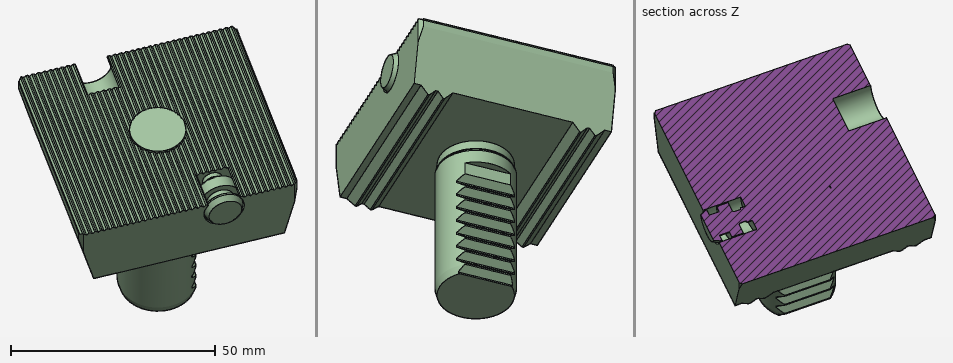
import math

import cadquery as cq


BLOCK_LENGTH = 52.0
BLOCK_WIDTH = 56.0
BLOCK_HEIGHT = 18.1
UPRIGHT_WALL_HEIGHT = 2.7
SIDE_TAPER = math.radians(13.0)
CORNER_CHAMFER = 1.0

TOOTH_PITCH = 4.0
TOOTH_FLANK = math.radians(45.0)
TOOTH_FLAT_WIDTH = 0.4

FEET_DEPTH = 2.0
FEET_GAP_DEPTH = 0.5
FEET_CENTER_X = 20.0

SERRATION_PITCH = 1.5
SERRATION_DEPTH = 0.55

DISC_DIAMETER = 13.8
DISC_HEIGHT = 0.4

SHANK_DIAMETER = 20.0
SHANK_LENGTH = 40.0
NECK_DIAMETER = 19.1
NECK_UNDERCUT = 0.1
NECK_END_Z = -2.5
SHOULDER_DIAMETER = 19.2
SHOULDER_HEIGHT = 0.2
BODY_TOP_Z = -3.4
END_TAPER_HEIGHT = 2.0
END_TAPER = math.radians(15.0)

RACK_FLAT_Y = 8.0
RACK_GROOVE_DEPTH = 1.6
RACK_TOP_Z = -7.0
FIRST_GROOVE_DISTANCE = 11.7
GROOVE_COUNT = 8

BORE_DIAMETER = 10.3
BORE_DEPTH = 10.0
BORE_OFFSET_Y = 9.0

SCREW_DIAMETER = 5.0
SCREW_CORE_DIAMETER = 4.2
SCREW_COLLAR_DIAMETER = 10.0
SCREW_WAIST_DIAMETER = 6.8
SCREW_FACE_DIAMETER = 8.4
SCREW_TOP_Z = 19.59
SCREW_THREAD_END_X = 17.2
SCREW_THREAD_CHAMFER = 0.15
SCREW_COLLAR_X = 19.35
SCREW_WAIST_X = 22.5
SCREW_HEAD_X = 25.0
SCREW_HEAD_RIM = 0.45
SCREW_FACE_X = 27.0
SCREW_FILLET = 0.45

HALF_LENGTH = BLOCK_LENGTH / 2
HALF_WIDTH = BLOCK_WIDTH / 2
SHANK_DATUM_Z = -FEET_GAP_DEPTH
SHANK_END_Z = SHANK_DATUM_Z - SHANK_LENGTH
BORE_AXIS_Z = SCREW_TOP_Z - SCREW_COLLAR_DIAMETER / 2
BORE_FLOOR_X = HALF_LENGTH - BORE_DEPTH


def tooth_half_width(distance):
    """Half width of a tooth or groove at a distance from its narrow flat."""
    return TOOTH_FLAT_WIDTH / 2 + distance * math.tan(TOOTH_FLANK)


def foot_outline(center_x):
    """Two-tooth foot in XZ, from the underside of the block down."""
    root = tooth_half_width(FEET_DEPTH)
    gap = tooth_half_width(FEET_DEPTH - FEET_GAP_DEPTH)
    tip = tooth_half_width(0)
    near = TOOTH_PITCH / 2
    right_half = [
        (near - gap, -FEET_GAP_DEPTH),
        (near - tip, -FEET_DEPTH),
        (near + tip, -FEET_DEPTH),
        (near + root, 0),
    ]
    left_half = [(-x, z) for x, z in reversed(right_half)]
    return [(center_x + x, z) for x, z in left_half + right_half]


def make_block():
    """Tapered block with its feet, before the top is cut."""
    long_outline = [
        (-HALF_LENGTH, BLOCK_HEIGHT),
        (-HALF_LENGTH, 0),
        *foot_outline(-FEET_CENTER_X),
        *foot_outline(FEET_CENTER_X),
        (HALF_LENGTH, 0),
        (HALF_LENGTH, BLOCK_HEIGHT),
    ]
    block = cq.Workplane("XZ").polyline(long_outline).close().extrude(HALF_WIDTH, both=True)

    taper_top_z = BLOCK_HEIGHT - UPRIGHT_WALL_HEIGHT
    bottom_half_width = HALF_WIDTH - (taper_top_z + FEET_DEPTH) * math.tan(SIDE_TAPER)
    side_outline = [
        (-HALF_WIDTH, BLOCK_HEIGHT),
        (-HALF_WIDTH, taper_top_z),
        (-bottom_half_width, -FEET_DEPTH),
        (bottom_half_width, -FEET_DEPTH),
        (HALF_WIDTH, taper_top_z),
        (HALF_WIDTH, BLOCK_HEIGHT),
    ]
    side_form = cq.Workplane("YZ").polyline(side_outline).close().extrude(HALF_LENGTH, both=True)

    corner_form = (
        cq.Workplane("XY", origin=(0, 0, -FEET_DEPTH))
        .rect(BLOCK_LENGTH, BLOCK_WIDTH)
        .extrude(BLOCK_HEIGHT + FEET_DEPTH)
        .edges("|Z")
        .chamfer(CORNER_CHAMFER)
    )
    return block.intersect(side_form).intersect(corner_form)


def make_serration_cutter():
    """Row of V grooves joined above the top face, as one prism along X."""
    clearance_z = BLOCK_HEIGHT + SERRATION_DEPTH
    groove_count = 2 * math.ceil(HALF_WIDTH / SERRATION_PITCH)
    first_y = -(groove_count - 1) * SERRATION_PITCH / 2
    last_y = -first_y
    outline = [(first_y - SERRATION_DEPTH, clearance_z)]
    for index in range(groove_count):
        groove_y = first_y + index * SERRATION_PITCH
        outline += [
            (groove_y - SERRATION_DEPTH, BLOCK_HEIGHT),
            (groove_y, BLOCK_HEIGHT - SERRATION_DEPTH),
            (groove_y + SERRATION_DEPTH, BLOCK_HEIGHT),
        ]
    outline.append((last_y + SERRATION_DEPTH, clearance_z))
    return cq.Workplane("YZ").polyline(outline).close().extrude(HALF_LENGTH, both=True)


def make_bore(floor_x, side):
    """Bore cutter running from its floor out through the +X (1) or -X (-1) end."""
    return (
        cq.Workplane("YZ", origin=(floor_x, side * BORE_OFFSET_Y, BORE_AXIS_Z))
        .circle(BORE_DIAMETER / 2)
        .extrude(side * BORE_DEPTH)
    )


def make_disc():
    """Round pad standing proud of the serrations."""
    root_z = BLOCK_HEIGHT - SERRATION_DEPTH
    return (
        cq.Workplane("XY", origin=(0, 0, root_z))
        .circle(DISC_DIAMETER / 2)
        .extrude(SERRATION_DEPTH + DISC_HEIGHT)
    )


def make_shank():
    """Turned shank with the neck, end taper and toothed flat."""
    radius = SHANK_DIAMETER / 2
    neck_radius = NECK_DIAMETER / 2
    shoulder_radius = SHOULDER_DIAMETER / 2
    end_radius = radius - END_TAPER_HEIGHT * math.tan(END_TAPER)
    profile = [
        (0, 0),
        (neck_radius - NECK_UNDERCUT, 0),
        (neck_radius, SHANK_DATUM_Z),
        (neck_radius, NECK_END_Z),
        (shoulder_radius, NECK_END_Z),
        (shoulder_radius, NECK_END_Z - SHOULDER_HEIGHT),
        (radius, BODY_TOP_Z),
        (radius, SHANK_END_Z + END_TAPER_HEIGHT),
        (end_radius, SHANK_END_Z),
        (0, SHANK_END_Z),
    ]
    shank = cq.Workplane("XZ").polyline(profile).close().revolve(360, (0, 0, 0), (0, 1, 0))

    flat_height = RACK_TOP_Z - SHANK_END_Z
    flat = (
        cq.Workplane("XY", origin=(0, 0, SHANK_END_Z))
        .center(0, (RACK_FLAT_Y + radius) / 2)
        .rect(SHANK_DIAMETER, radius - RACK_FLAT_Y)
        .extrude(flat_height)
    )
    shank = shank.cut(flat)

    floor_y = RACK_FLAT_Y - RACK_GROOVE_DEPTH
    floor_half = tooth_half_width(0)
    mouth_half = tooth_half_width(RACK_GROOVE_DEPTH)
    for index in range(GROOVE_COUNT):
        groove_z = SHANK_DATUM_Z - FIRST_GROOVE_DISTANCE - index * TOOTH_PITCH
        outline = [
            (RACK_FLAT_Y, groove_z + mouth_half),
            (floor_y, groove_z + floor_half),
            (floor_y, groove_z - floor_half),
            (RACK_FLAT_Y, groove_z - mouth_half),
        ]
        groove = cq.Workplane("YZ").polyline(outline).close().extrude(radius, both=True)
        shank = shank.cut(groove)
    return shank


def make_screw():
    """Collared screw, turned about an axis along X and joined to the bore floor."""
    core = SCREW_CORE_DIAMETER / 2
    collar = SCREW_COLLAR_DIAMETER / 2
    waist = SCREW_WAIST_DIAMETER / 2
    thread = SCREW_DIAMETER / 2
    face = SCREW_FACE_DIAMETER / 2
    fillet_mid = SCREW_FILLET * (1 - math.sqrt(0.5))
    profile = (
        cq.Workplane("XY", origin=(0, BORE_OFFSET_Y, BORE_AXIS_Z))
        .moveTo(BORE_FLOOR_X, 0)
        .lineTo(BORE_FLOOR_X, thread)
        .lineTo(SCREW_THREAD_END_X, thread)
        .lineTo(SCREW_THREAD_END_X + SCREW_THREAD_CHAMFER, core)
        .lineTo(SCREW_COLLAR_X - SCREW_FILLET, core)
        .threePointArc(
            (SCREW_COLLAR_X - fillet_mid, core + fillet_mid),
            (SCREW_COLLAR_X, core + SCREW_FILLET),
        )
        .lineTo(SCREW_COLLAR_X, collar)
        .lineTo(SCREW_WAIST_X, collar)
        .lineTo(SCREW_WAIST_X, waist)
        .lineTo(SCREW_HEAD_X, waist)
        .lineTo(SCREW_HEAD_X, collar)
        .lineTo(SCREW_HEAD_X + SCREW_HEAD_RIM, collar)
        .lineTo(SCREW_FACE_X, face)
        .lineTo(SCREW_FACE_X, 0)
        .close()
    )
    return profile.revolve(360, (0, 0, 0), (1, 0, 0))


block = make_block().cut(make_serration_cutter())
block = block.cut(make_bore(BORE_FLOOR_X, 1)).cut(make_bore(-BORE_FLOOR_X, -1))
result = block.union(make_disc()).union(make_shank()).union(make_screw())